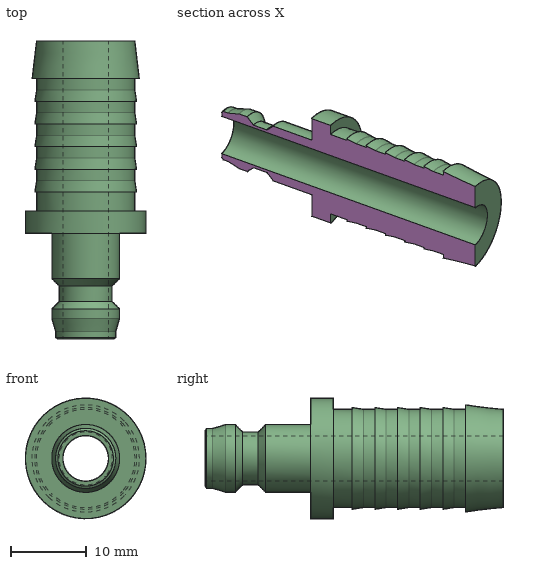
import cadquery as cq

total_length = 39.5
bore_radius = 3.0

tip_radius = 4.0
tip_chamfer_width = 0.3
tip_chamfer_length = 0.2
tip_length = 1.0
taper_end = 2.73
stem_radius = 4.5
groove_radius = 3.5
groove_start = 4.0
groove_end = 8.0
groove_slope = stem_radius - groove_radius

flange_radius = 8.0
flange_start = 14.0
flange_width = 3.0
flange_end = flange_start + flange_width

barb_radius = 6.5
rib_radius = 6.75
rib_length = 1.5
rib_count = 5
rib_pitch = 3.0
collar_radius = 7.1
collar_length = 5.0
collar_start = total_length - collar_length


def revolve_profile(points):
    """Revolve a closed (radius, Y) outline about the Y axis."""
    return cq.Workplane("XY").polyline(points).close().revolve(360, (0, 0), (0, 1))


def tapered_ring(start, length, large_radius):
    """Hose-gripping cone with a sharp shoulder facing the flange."""
    return revolve_profile([
        (bore_radius, start),
        (large_radius, start),
        (barb_radius, start + length),
        (bore_radius, start + length),
    ])


result = revolve_profile([
    (bore_radius, 0),
    (tip_radius - tip_chamfer_width, 0),
    (tip_radius, tip_chamfer_length),
    (tip_radius, tip_length),
    (stem_radius, taper_end),
    (stem_radius, groove_start),
    (groove_radius, groove_start + groove_slope),
    (groove_radius, groove_end - groove_slope),
    (stem_radius, groove_end),
    (stem_radius, flange_start),
    (flange_radius, flange_start),
    (flange_radius, flange_end),
    (barb_radius, flange_end),
    (barb_radius, total_length),
    (bore_radius, total_length),
])

result = result.union(tapered_ring(collar_start, collar_length, collar_radius))
for rib in range(rib_count):
    rib_start = collar_start - (rib + 1) * rib_pitch
    result = result.union(tapered_ring(rib_start, rib_length, rib_radius))